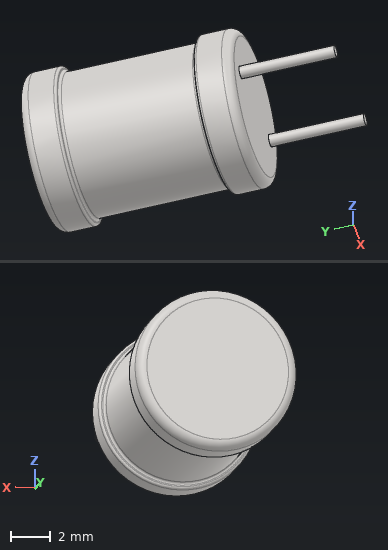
import cadquery as cq

total_length = 16.2
lead_length = 5.0
lead_diameter = 0.65
lead_spacing = 5.0
flange_radius = 4.15
barrel_radius = 3.79
flange_width = 2.0
end_round = 0.5
shoulder_round = 0.15

body_length = total_length - lead_length


def rim_circle(radius, y):
    """Selector for the circular edges of the given radius or less lying at position y."""
    tolerance = 0.002
    return cq.selectors.BoxSelector(
        (-radius - tolerance, y - tolerance, -radius - tolerance),
        (radius + tolerance, y + tolerance, radius + tolerance),
        boundingbox=True,
    )


def make_body():
    """Spool-shaped body with its lead face at Y = 0."""
    shoulders = (flange_width, body_length - flange_width)
    profile = (
        cq.Workplane("XY")
        .polyline([
            (0, 0),
            (flange_radius, 0),
            (flange_radius, shoulders[0]),
            (barrel_radius, shoulders[0]),
            (barrel_radius, shoulders[1]),
            (flange_radius, shoulders[1]),
            (flange_radius, body_length),
            (0, body_length),
        ])
        .close()
    )
    body = profile.revolve(360, (0, 0), (0, 1))
    for end in (0, body_length):
        body = body.edges(rim_circle(flange_radius, end)).fillet(end_round)
    for shoulder in shoulders:
        body = body.edges(rim_circle(flange_radius, shoulder)).fillet(shoulder_round)
    return body


def make_lead(x):
    """Round wire lead standing on the lead face of the body."""
    return cq.Workplane("XZ").center(x, 0).circle(lead_diameter / 2).extrude(lead_length)


body = make_body()
leads = [make_lead(side * lead_spacing / 2) for side in (-1, 1)]

result = cq.Compound.makeCompound([body.val(), *[lead.val() for lead in leads]])